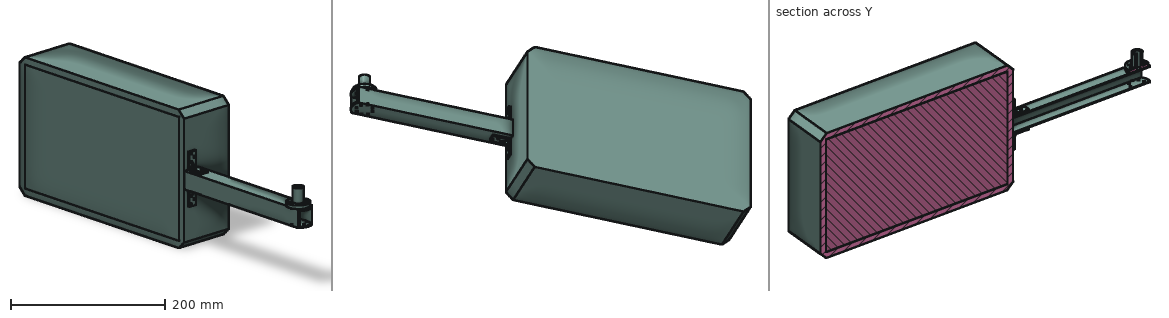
import cadquery as cq
import math


case_length = 309.5
case_depth = 80.0
case_height = 190.0
case_corner_chamfer = 10.0
frame_width = 10.0
panel_thickness = 10.0

overall_length = 528.0
arm_width = 25.5
arm_wall = 2.0
arm_end_radius = 18.0
arm_middle_z = 0.5
arm_top_z = arm_middle_z + arm_width / 2
arm_bottom_z = arm_middle_z - arm_width / 2

flange_x = overall_length - arm_end_radius
flange_radius = 16.0
flange_overhang = 2.5
arm_axis_y = flange_radius - flange_overhang
flange_thickness = 5.0
hub_radius = 7.5
hub_bore_radius = 4.0
flange_height = 25.5
bolt_hole_count = 8
bolt_hole_radius = 1.3
bolt_circle_radius = 11.0

bracket_leg = 25.0
bracket_width = 11.5
bracket_thickness = 2.5
bracket_hole_radius = 1.3
bracket_hole_first = 10.5
bracket_hole_pitch = 6.0
bracket_hole_count = 3
bracket_hole_stagger = 2.5
gusset_leg = 6.5
gusset_half_width = 2.5


def make_panel():
    """Flat panel that fills the recess in the front of the case."""
    return cq.Workplane("XY").box(
        case_length - 2 * frame_width,
        panel_thickness,
        case_height - 2 * frame_width,
        centered=(True, False, True),
    ).translate((case_length / 2, 0, 0))


def make_case(panel):
    """Box with chamfered corners and a recess for the panel."""
    block = (
        cq.Workplane("XY")
        .box(case_length, case_depth, case_height, centered=(False, False, True))
        .edges("|Y")
        .chamfer(case_corner_chamfer)
    )
    return block.cut(panel)


def bolt_holes(bottom_z, depth):
    """Cylinders of the bolt circle around the flange axis."""
    return (
        cq.Workplane("XY", origin=(flange_x, arm_axis_y, bottom_z))
        .polarArray(bolt_circle_radius, 0, 360, bolt_hole_count)
        .circle(bolt_hole_radius)
        .extrude(depth)
    )


def make_arm():
    """Square tube with a rounded end and the bolt circle in its top and bottom walls."""
    corner_reach = math.sqrt(arm_end_radius**2 - (arm_width / 2) ** 2)
    bar = (
        cq.Workplane("XY", origin=(0, arm_axis_y, arm_bottom_z))
        .moveTo(case_length, -arm_width / 2)
        .lineTo(flange_x + corner_reach, -arm_width / 2)
        .threePointArc((overall_length, 0), (flange_x + corner_reach, arm_width / 2))
        .lineTo(case_length, arm_width / 2)
        .close()
        .extrude(arm_width)
    )
    bore_width = arm_width - 2 * arm_wall
    bore = (
        cq.Workplane("YZ", origin=(case_length, arm_axis_y, arm_middle_z))
        .rect(bore_width, bore_width)
        .extrude(overall_length - case_length)
    )
    top_holes = bolt_holes(arm_top_z - arm_wall, arm_wall)
    bottom_holes = bolt_holes(arm_bottom_z, arm_wall)
    return bar.cut(bore).cut(top_holes).cut(bottom_holes)


def make_flange():
    """Round flange on top of the arm with a hollow hub and a bolt circle."""
    base = cq.Workplane("XY", origin=(flange_x, arm_axis_y, arm_top_z))
    disc = base.circle(flange_radius).extrude(flange_thickness)
    hub = base.circle(hub_radius).extrude(flange_height)
    bore = base.circle(hub_bore_radius).extrude(flange_height)
    return disc.union(hub).cut(bore).cut(bolt_holes(arm_top_z, flange_thickness))


def make_gusset():
    """Tetrahedron in the inner corner of a bracket, with a ridge from leg to leg."""
    corner = bracket_thickness
    tip_out = cq.Vector(corner + gusset_leg, 0, corner)
    tip_up = cq.Vector(corner, 0, corner + gusset_leg)
    side_front = cq.Vector(corner, -gusset_half_width, corner)
    side_back = cq.Vector(corner, gusset_half_width, corner)
    triangles = [
        (tip_out, tip_up, side_front),
        (tip_out, side_back, tip_up),
        (tip_out, side_front, side_back),
        (tip_up, side_back, side_front),
    ]
    faces = [cq.Face.makeFromWires(cq.Wire.makePolygon(corners, close=True)) for corners in triangles]
    return cq.Solid.makeSolid(cq.Shell.makeShell(faces))


def make_bracket():
    """Angle bracket with its outer corner at the origin and legs along +X and +Z."""
    bracket = (
        cq.Workplane("XZ", origin=(0, bracket_width / 2, 0))
        .polyline([
            (0, 0),
            (bracket_leg, 0),
            (bracket_leg, bracket_thickness),
            (bracket_thickness, bracket_thickness),
            (bracket_thickness, bracket_leg),
            (0, bracket_leg),
        ])
        .close()
        .extrude(bracket_width)
        .union(cq.Workplane(make_gusset()))
    )
    for index in range(bracket_hole_count):
        along = bracket_hole_first + index * bracket_hole_pitch
        across = bracket_hole_stagger * (-1) ** (index + 1)
        leg_hole = cq.Workplane("XY").center(along, across).circle(bracket_hole_radius)
        wall_hole = cq.Workplane("YZ").center(across, along).circle(bracket_hole_radius)
        bracket = bracket.cut(leg_hole.extrude(bracket_thickness))
        bracket = bracket.cut(wall_hole.extrude(bracket_thickness))
    return bracket


panel = make_panel()
case = make_case(panel)
arm = make_arm()
flange = make_flange()

upper_bracket = make_bracket().translate((case_length, arm_axis_y, arm_top_z))
lower_bracket = upper_bracket.mirror("XY", (0, 0, arm_middle_z))

result = cq.Compound.makeCompound([
    case.val(),
    panel.val(),
    arm.val(),
    flange.val(),
    upper_bracket.val(),
    lower_bracket.val(),
])